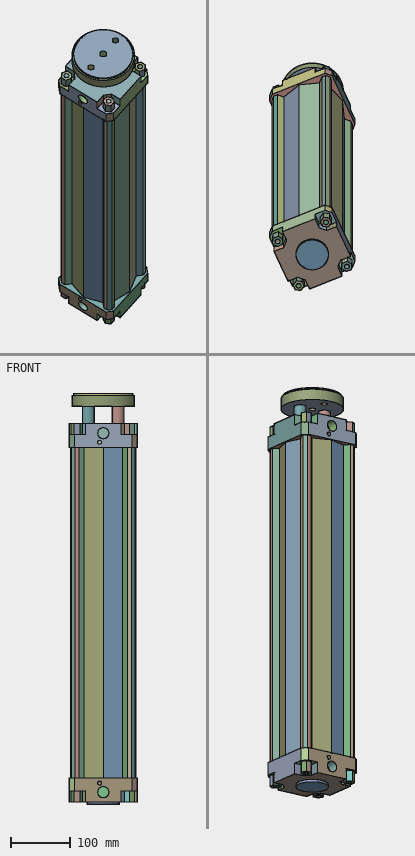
import cadquery as cq
import math

total_height = 693.0
boss_height = 4.0
boss_diameter = 55.0

cap_width = 115.0
cap_height = 41.0
cap_chamfer = 9.0
cap_top = 642.5
housing_middle = (boss_height + cap_top) / 2

notch_size = 28.0
notch_depth = 19.0
notch_corner_chamfer = 10.0
nut_offset = 44.5
nut_sides = 6
nut_corner_diameter = 19.5
nut_hole_diameter = 8.0
nut_hole_depth = 3.0

port_diameter = 19.0
port_depth = 21.0
port_inset = 16.5
screw_diameter = 6.5
screw_depth = 7.0
screw_inset = 32.0
screw_x = -6.0

ridge_reach = 55.5
rib_reach = 53.5
rib_chamfer = 5.5
rib_inner_edge = 41.0
groove_depth = 8.0
groove_bottom_edge = rib_inner_edge - groove_depth

flange_diameter = 105.0
flange_top_diameter = 100.0
flange_thickness = 22.0
flange_step_height = 3.5
rod_diameter = 20.0
rod_offset = 25.0
center_hole_diameter = 12.0
side_hole_diameter = 10.5
side_hole_offset = 34.5

quarter_turns = [0, 90, 180, 270]


def make_tube():
    """Extruded barrel between the caps, with the same profile on all four sides."""
    side = [
        (-rib_reach + rib_chamfer, -rib_reach),
        (-rib_inner_edge, -rib_reach),
        (-groove_bottom_edge, -rib_reach + groove_depth),
        (0, -ridge_reach),
        (groove_bottom_edge, -rib_reach + groove_depth),
        (rib_inner_edge, -rib_reach),
        (rib_reach - rib_chamfer, -rib_reach),
    ]
    outline = []
    for turn in quarter_turns:
        cos_turn = round(math.cos(math.radians(turn)))
        sin_turn = round(math.sin(math.radians(turn)))
        outline += [(x * cos_turn - y * sin_turn, x * sin_turn + y * cos_turn) for x, y in side]
    bottom = boss_height + cap_height
    length = cap_top - cap_height - bottom
    return cq.Workplane("XY").workplane(offset=bottom).polyline(outline).close().extrude(length)


def make_corner_notch():
    """Cutter for the upper cap's notch at the -X -Y corner, open at the top and sides."""
    half_width = cap_width / 2
    return (
        cq.Workplane("XY")
        .workplane(offset=cap_top - notch_depth)
        .center(-half_width + notch_size / 2, -half_width + notch_size / 2)
        .rect(notch_size, notch_size)
        .extrude(notch_depth)
        .edges("|Z and >X and >Y")
        .chamfer(notch_corner_chamfer)
    )


def make_nut():
    """Hexagonal nut in the -X -Y notch, with a conical recess in its end."""
    nut = (
        cq.Workplane("XY")
        .workplane(offset=cap_top - notch_depth)
        .center(-nut_offset, -nut_offset)
        .polygon(nut_sides, nut_corner_diameter)
        .extrude(notch_depth)
    )
    recess = cq.Solid.makeCone(
        0,
        nut_hole_diameter / 2,
        nut_hole_depth,
        pnt=cq.Vector(-nut_offset, -nut_offset, cap_top - nut_hole_depth),
    )
    return nut.cut(cq.Workplane(recess))


def make_front_hole(x, z, diameter, depth):
    """Cutter for a round blind hole in the -Y face of a cap."""
    return (
        cq.Workplane("XZ", origin=(x, -cap_width / 2, z))
        .circle(diameter / 2)
        .extrude(-depth)
    )


def make_upper_cap():
    """Chamfered block with four notches and nuts, the air port and the cushion screw hole."""
    cap = (
        cq.Workplane("XY")
        .workplane(offset=cap_top - cap_height)
        .rect(cap_width, cap_width)
        .extrude(cap_height)
        .edges("|Z")
        .chamfer(cap_chamfer)
    )
    axis = ((0, 0, 0), (0, 0, 1))
    for turn in quarter_turns:
        cap = cap.cut(make_corner_notch().rotate(*axis, turn))
        cap = cap.union(make_nut().rotate(*axis, turn))
    cap = cap.cut(make_front_hole(0, cap_top - port_inset, port_diameter, port_depth))
    return cap.cut(make_front_hole(screw_x, cap_top - screw_inset, screw_diameter, screw_depth))


def make_housing():
    """Tube, both end caps and the locating boss as one solid."""
    upper_cap = make_upper_cap()
    lower_cap = upper_cap.mirror("XY", (0, 0, housing_middle))
    boss = cq.Workplane("XY").circle(boss_diameter / 2).extrude(boss_height)
    return make_tube().union(upper_cap).union(lower_cap).union(boss)


def make_rod_assembly():
    """Flange plate with a stepped rim and its two piston rods, standing on the upper cap."""
    flange_bottom = total_height - flange_thickness
    flange = (
        cq.Workplane("XY")
        .workplane(offset=flange_bottom)
        .circle(flange_diameter / 2)
        .extrude(flange_thickness - flange_step_height)
        .faces(">Z")
        .workplane()
        .circle(flange_top_diameter / 2)
        .extrude(flange_step_height)
    )
    top_plane = cq.Workplane("XY").workplane(offset=total_height)
    center_hole = top_plane.circle(center_hole_diameter / 2).extrude(-flange_thickness)
    side_holes = (
        top_plane.pushPoints([(0, -side_hole_offset), (0, side_hole_offset)])
        .circle(side_hole_diameter / 2)
        .extrude(-flange_thickness)
    )
    rods = (
        cq.Workplane("XY")
        .workplane(offset=cap_top)
        .pushPoints([(-rod_offset, 0), (rod_offset, 0)])
        .circle(rod_diameter / 2)
        .extrude(flange_bottom - cap_top)
    )
    return flange.cut(center_hole).cut(side_holes).union(rods)


housing = make_housing()
rod_assembly = make_rod_assembly()

result = cq.Compound.makeCompound([housing.val(), rod_assembly.val()])